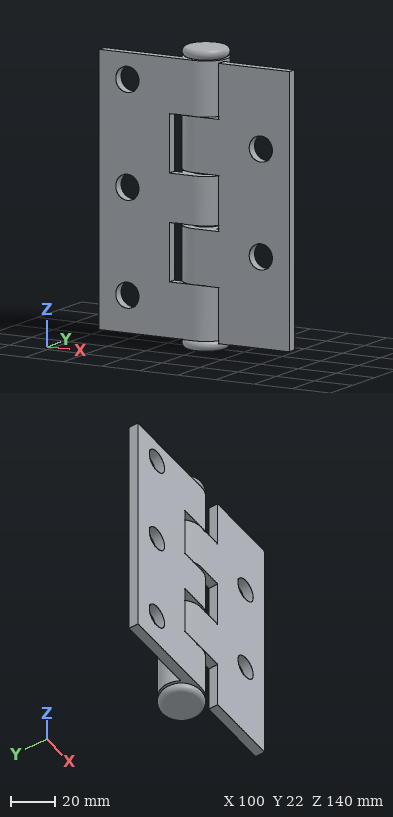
import cadquery as cq

pin_length = 140.0
head_height = 5.0
barrel_diameter = 22.0
pin_diameter = 12.0
hinge_width = 100.0
leaf_thickness = 5.0
knuckle_count = 5
side_clearance = 2.0
end_gap = 1.5
screw_hole_diameter = 12.0
screw_hole_x = 35.0
screw_hole_pitch = 50.0
screw_hole_rise = 2.5

barrel_radius = barrel_diameter / 2
pin_radius = pin_diameter / 2
half_pin = pin_length / 2
leaf_height = pin_length - 2 * head_height
leaf_top = leaf_height / 2
knuckle_height = leaf_height / knuckle_count
half_width = hinge_width / 2
plate_start = barrel_radius + side_clearance
leaf_back = -barrel_radius

left_spans = [
    (-leaf_top, -leaf_top + knuckle_height),
    (-knuckle_height / 2 + end_gap, knuckle_height / 2 - end_gap),
    (leaf_top - knuckle_height, leaf_top),
]
right_spans = [
    (-1.5 * knuckle_height, -0.5 * knuckle_height),
    (0.5 * knuckle_height, 1.5 * knuckle_height),
]


def plate(x_start, x_end, bottom, top):
    """Flat slab whose front face is tangent to the barrel."""
    return (
        cq.Workplane("XY", origin=(0, 0, bottom))
        .moveTo(x_start, leaf_back)
        .rect(x_end - x_start, leaf_thickness, centered=False)
        .extrude(top - bottom)
    )


def cylinder(radius, bottom, top):
    """Cylinder on the pin axis."""
    return cq.Workplane("XY", origin=(0, 0, bottom)).circle(radius).extrude(top - bottom)


def make_leaf(side, spans, hole_heights):
    """Leaf with its knuckles; side is -1 for the left leaf and +1 for the right."""
    leaf = plate(side * plate_start, side * half_width, -leaf_top, leaf_top)
    for bottom, top in spans:
        leaf = leaf.union(plate(0, side * plate_start, bottom, top))
        leaf = leaf.union(cylinder(barrel_radius, bottom, top))
    leaf = leaf.cut(cylinder(pin_radius, -leaf_top, leaf_top))

    screw_holes = (
        cq.Workplane("XZ", origin=(0, leaf_back + leaf_thickness, 0))
        .pushPoints([(side * screw_hole_x, height) for height in hole_heights])
        .circle(screw_hole_diameter / 2)
        .extrude(leaf_thickness)
    )
    return leaf.cut(screw_holes).solids()


def make_pin():
    """Pin with a fully rounded head at each end."""
    round_radius = head_height / 2
    flat_radius = barrel_radius - round_radius
    head_middle = leaf_top + round_radius
    half_profile = (
        cq.Workplane("XZ")
        .moveTo(0, -half_pin)
        .lineTo(flat_radius, -half_pin)
        .threePointArc((barrel_radius, -head_middle), (flat_radius, -leaf_top))
        .lineTo(pin_radius, -leaf_top)
        .lineTo(pin_radius, leaf_top)
        .lineTo(flat_radius, leaf_top)
        .threePointArc((barrel_radius, head_middle), (flat_radius, half_pin))
        .lineTo(0, half_pin)
        .close()
    )
    return half_profile.revolve(360, (0, 0, 0), (0, 1, 0))


left_hole_heights = [screw_hole_rise + step * screw_hole_pitch for step in (-1, 0, 1)]
right_hole_heights = [screw_hole_rise + step * screw_hole_pitch for step in (-0.5, 0.5)]

left_leaf = make_leaf(-1, left_spans, left_hole_heights)
right_leaf = make_leaf(1, right_spans, right_hole_heights)
pin = make_pin()

result = cq.Compound.makeCompound([left_leaf.val(), right_leaf.val(), pin.val()])